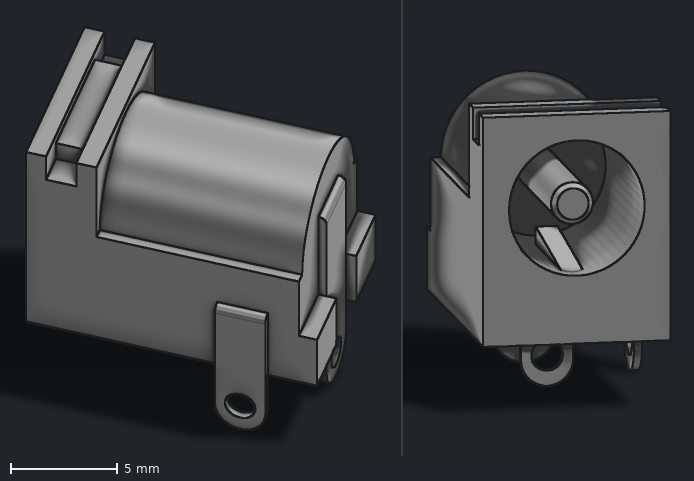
import cadquery as cq


body_length = 13.5
body_width = 9.0
body_height = 11.0
axis_height = 6.51
barrel_radius = 4.0
flange_length = 3.5
foot_end = 14.4
foot_height = 3.0
foot_gap_width = 3.05

groove_start = 1.0
groove_end = 2.5
groove_depth = 1.51
groove_block_width = 6.0

bore_diameter = 6.5
bore_depth = 10.0
pin_diameter = 2.0
pin_recess = 1.0
pin_chamfer = 0.25

tab_drop = 3.5
tab_thickness = 0.4
side_tab_thickness = 0.39
tab_top_flat = 0.01
hole_diameter = 1.5
hole_drop = 2.0
rear_tab_width = 3.0
rear_tab_top = 8.0
side_tab_width = 2.5
side_tab_top = 4.03
side_tab_center = 10.72

leg_start = 7.6
leg_thickness = 0.25
leg_width = 2.5
spring_width = 1.05
spring_start = 1.0
spring_top = 4.13
spring_tip_height = axis_height - bore_diameter / 2


def box(x_start, x_end, width, z_start, z_end):
    """Block centered on Y = 0."""
    return (
        cq.Workplane("XY", origin=(0, 0, z_start))
        .moveTo(x_start, -width / 2)
        .lineTo(x_end, -width / 2)
        .lineTo(x_end, width / 2)
        .lineTo(x_start, width / 2)
        .close()
        .extrude(z_end - z_start)
    )


def rod(diameter, x_start, x_end):
    """Cylinder along X on the socket axis."""
    plane = cq.Workplane("YZ", origin=(x_start, 0, axis_height))
    return plane.circle(diameter / 2).extrude(x_end - x_start)


def solder_tab(width, top, thickness):
    """Upright strip in the YZ plane with a round lower end and a hole, thick along +X."""
    radius = width / 2
    arc_center = radius - tab_drop
    strip = (
        cq.Workplane("YZ")
        .moveTo(-radius, top)
        .lineTo(-radius, arc_center)
        .threePointArc((0, -tab_drop), (radius, arc_center))
        .lineTo(radius, top)
        .close()
        .extrude(thickness)
    )
    hole = cq.Workplane("YZ").center(0, -hole_drop).circle(hole_diameter / 2).extrude(thickness)
    return strip.cut(hole)


def round_top(tab, thickness):
    """Round the outer top edge almost through the full thickness."""
    return tab.faces(">Z").edges(">X").fillet(thickness - tab_top_flat)


def housing():
    body = box(0, flange_length, body_width, 0, body_height)
    body = body.union(box(0, body_length, body_width, 0, axis_height))
    body = body.union(rod(2 * barrel_radius, 0, body_length))
    body = body.union(box(body_length, foot_end, body_width, 0, foot_height))
    body = body.cut(box(body_length, foot_end, foot_gap_width, 0, foot_height))

    groove_floor = body_height - groove_depth
    block_top = axis_height + barrel_radius
    body = body.cut(box(groove_start, groove_end, body_width, groove_floor, body_height))
    body = body.union(box(groove_start, groove_end, groove_block_width, groove_floor, block_top))

    return body.cut(rod(bore_diameter, 0, bore_depth))


def center_pin():
    return rod(pin_diameter, pin_recess, bore_depth).faces("<X").chamfer(pin_chamfer)


def spring_contact():
    """Ramp rising from the bore wall, joined to a leg through the housing floor."""
    ramp = (
        cq.Workplane("XZ", origin=(0, spring_width / 2, 0))
        .moveTo(spring_start, spring_tip_height)
        .lineTo(leg_start, spring_top)
        .lineTo(leg_start + leg_thickness, spring_top)
        .lineTo(leg_start + leg_thickness, 0)
        .lineTo(leg_start, 0)
        .lineTo(spring_start, 0)
        .close()
        .extrude(spring_width)
    )
    leg = solder_tab(leg_width, 0, leg_thickness).translate((leg_start, 0, 0))
    return ramp.union(leg)


rear_tab = round_top(solder_tab(rear_tab_width, rear_tab_top, tab_thickness), tab_thickness)
side_tab = round_top(solder_tab(side_tab_width, side_tab_top, side_tab_thickness), side_tab_thickness)

result = (
    housing()
    .union(center_pin())
    .union(spring_contact())
    .union(rear_tab.translate((body_length, 0, 0)))
    .union(side_tab.rotate((0, 0, 0), (0, 0, 1), -90).translate((side_tab_center, -body_width / 2, 0)))
)